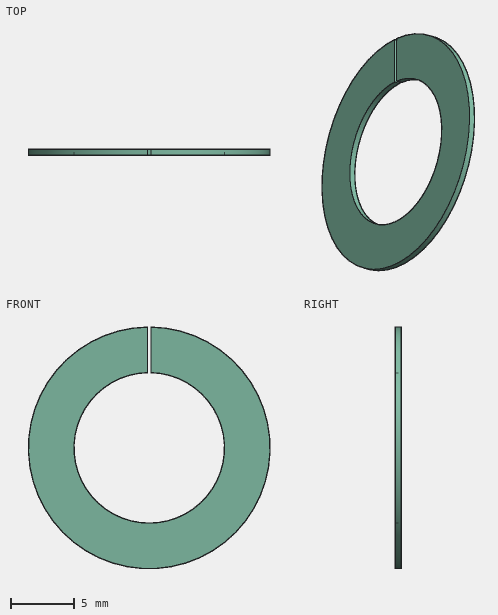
import cadquery as cq

outer_diameter = 19.05
inner_diameter = 11.836
thickness = 0.508
split_width = 0.25


def make_washer():
    """Plain annulus centred on the origin, with its axis along Y."""
    return (
        cq.Workplane("XZ")
        .circle(outer_diameter / 2)
        .circle(inner_diameter / 2)
        .extrude(thickness / 2, both=True)
    )


def make_split_cutter():
    """Block that opens the ring from its axis out past the top of the rim."""
    return cq.Workplane("XY").box(
        split_width, 2 * thickness, outer_diameter, centered=(True, True, False)
    )


result = make_washer().cut(make_split_cutter())